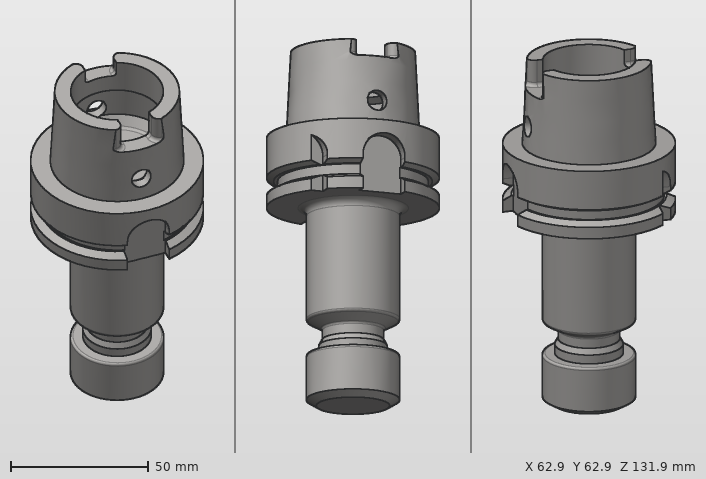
import cadquery as cq
import math


shank_length = 31.9
shank_base_radius = 48.64 / 2
taper_per_length = 0.05
shank_top_radius = shank_base_radius - taper_per_length * shank_length

bore_radius = 33.7 / 2
bore_lip_z = 19.2
undercut_radius = 40.08 / 2
undercut_slope = math.radians(60)
undercut_bottom_z = 5.6
bore_floor_z = 2.0
bore_floor_fillet = 2.0

cross_hole_diameter = 7.5
cross_hole_z = 9.0

drive_slot_half_width = 6.1
drive_slot_flare_start = 18.0
drive_slot_flare_radius = 2.9
drive_slot_outer_half_width = 14.0
drive_slot_floor_fillet = 1.5
shallow_slot_depth = 6.1
deep_slot_depth = 9.95

flange_radius = 62.94 / 2
flange_bottom_z = -26.0
groove_radius = 27.5
groove_top_z = -16.1
groove_bottom_z = -20.0
groove_upper_bevel_z = -14.8
groove_upper_bevel_radius = 28.9
groove_lower_bevel_z = -21.6
groove_lower_bevel_radius = 28.3

keyway_radius = 8.2
keyway_arch_z = -13.1
keyway_floor_x = 26.4
notch_floor_x = 19.94
notch_radius = 9.0
notch_wall_y = 19.8

body_radius = 34.05 / 2
body_top_fillet = 3.1
body_cone_start_z = -68.2
body_edge_fillet = 1.2
neck_radius = 22.5 / 2
neck_top_z = -71.2
neck_fillet = 1.0
neck_bottom_z = -75.4
collar_radius = 25 / 2
collar_top_z = -77.6
nut_radius = 34.05 / 2
nut_top_z = -81.0
nut_top_fillet = 0.9
nut_bottom_z = -100.0
nut_bevel_height = 2.2
nut_bevel_width = 3.65


def fillet_rim(body, rim_radius, rim_z, fillet_radius):
    """Round the circular edge of the given radius at the given height."""
    margin = 0.1
    reach = rim_radius + margin
    rim = cq.selectors.BoxSelector((-reach, -reach, rim_z - margin), (reach, reach, rim_z + margin))
    return body.edges(rim).edges("%CIRCLE").fillet(fillet_radius)


def turned_body():
    body = (
        cq.Workplane("XZ")
        .moveTo(0, nut_bottom_z)
        .lineTo(nut_radius - nut_bevel_width, nut_bottom_z)
        .lineTo(nut_radius, nut_bottom_z + nut_bevel_height)
        .lineTo(nut_radius, nut_top_z - nut_top_fillet)
        .radiusArc((nut_radius - nut_top_fillet, nut_top_z), -nut_top_fillet)
        .lineTo(collar_radius, nut_top_z)
        .lineTo(collar_radius, collar_top_z)
        .lineTo(neck_radius, neck_bottom_z)
        .lineTo(neck_radius, neck_top_z)
        .lineTo(body_radius, body_cone_start_z)
        .lineTo(body_radius, flange_bottom_z - body_top_fillet)
        .radiusArc((body_radius + body_top_fillet, flange_bottom_z), body_top_fillet)
        .lineTo(flange_radius, flange_bottom_z)
        .lineTo(flange_radius, groove_lower_bevel_z)
        .lineTo(groove_lower_bevel_radius, groove_bottom_z)
        .lineTo(groove_radius, groove_bottom_z)
        .lineTo(groove_radius, groove_top_z)
        .lineTo(groove_upper_bevel_radius, groove_top_z)
        .lineTo(flange_radius, groove_upper_bevel_z)
        .lineTo(flange_radius, 0)
        .lineTo(shank_base_radius, 0)
        .lineTo(shank_top_radius, shank_length)
        .lineTo(0, shank_length)
        .close()
        .revolve(360, (0, 0, 0), (0, 1, 0))
    )
    body = fillet_rim(body, body_radius, body_cone_start_z, body_edge_fillet)
    return fillet_rim(body, neck_radius, neck_top_z, neck_fillet)


def shank_bore():
    undercut_start_z = bore_lip_z - (undercut_radius - bore_radius) / math.tan(undercut_slope)
    floor_radius = undercut_radius - (undercut_bottom_z - bore_floor_z)
    bore = (
        cq.Workplane("XZ")
        .moveTo(0, bore_floor_z)
        .lineTo(floor_radius, bore_floor_z)
        .lineTo(undercut_radius, undercut_bottom_z)
        .lineTo(undercut_radius, undercut_start_z)
        .lineTo(bore_radius, bore_lip_z)
        .lineTo(bore_radius, shank_length)
        .lineTo(0, shank_length)
        .close()
        .revolve(360, (0, 0, 0), (0, 1, 0))
    )
    return fillet_rim(bore, floor_radius, bore_floor_z, bore_floor_fillet)


def cross_hole():
    return (
        cq.Workplane("YZ")
        .center(0, cross_hole_z)
        .circle(cross_hole_diameter / 2)
        .extrude(shank_base_radius, both=True)
    )


def drive_slot(depth):
    """Slot toward +X whose walls flare outward where they leave the shank."""
    flare_end_x = drive_slot_flare_start + drive_slot_flare_radius
    flare_half_width = drive_slot_half_width + drive_slot_flare_radius
    slot = (
        cq.Workplane("XY", origin=(0, 0, shank_length - depth))
        .moveTo(0, -drive_slot_half_width)
        .lineTo(drive_slot_flare_start, -drive_slot_half_width)
        .radiusArc((flare_end_x, -flare_half_width), drive_slot_flare_radius)
        .lineTo(flare_end_x, -drive_slot_outer_half_width)
        .lineTo(flange_radius, -drive_slot_outer_half_width)
        .lineTo(flange_radius, drive_slot_outer_half_width)
        .lineTo(flare_end_x, drive_slot_outer_half_width)
        .lineTo(flare_end_x, flare_half_width)
        .radiusArc((drive_slot_flare_start, drive_slot_half_width), drive_slot_flare_radius)
        .lineTo(0, drive_slot_half_width)
        .close()
        .extrude(depth)
    )
    return slot.faces("<Z").edges().fillet(drive_slot_floor_fillet)


def arched_cutter(floor_x, center_y, radius, length):
    """Arch with an open lower end, cut into the flange along X from its flat floor."""
    left = center_y - radius
    right = center_y + radius
    return (
        cq.Workplane("YZ", origin=(floor_x, 0, 0))
        .moveTo(left, flange_bottom_z)
        .lineTo(left, keyway_arch_z)
        .threePointArc((center_y, keyway_arch_z + radius), (right, keyway_arch_z))
        .lineTo(right, flange_bottom_z)
        .close()
        .extrude(length)
    )


result = turned_body().cut(shank_bore()).cut(cross_hole())
result = result.cut(drive_slot(deep_slot_depth))
result = result.cut(drive_slot(shallow_slot_depth).rotate((0, 0, 0), (0, 0, 1), 180))
result = result.cut(arched_cutter(keyway_floor_x, 0, keyway_radius, flange_radius))
result = result.cut(arched_cutter(-keyway_floor_x, 0, keyway_radius, -flange_radius))
result = result.cut(arched_cutter(-notch_floor_x, notch_wall_y + notch_radius, notch_radius, -flange_radius))